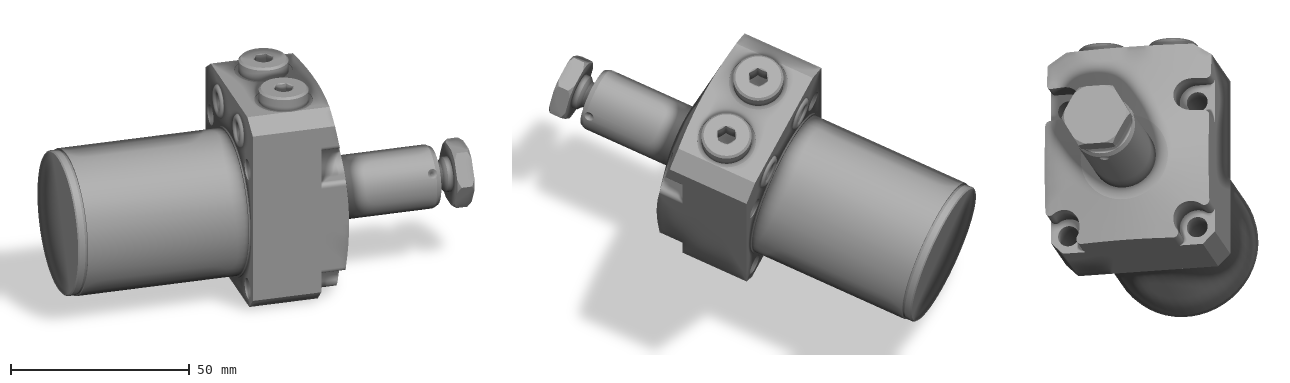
import cadquery as cq
import math


OVERALL_LENGTH = 119.0
OVERALL_HEIGHT = 61.8

FLATS_TO_CORNERS = math.cos(math.pi / 6)

BLOCK_WIDTH = 47.0
BLOCK_TOP = 34.5
BLOCK_BOTTOM = -BLOCK_WIDTH / 2
BLOCK_LENGTH = 31.0
TOP_BEVEL_WIDTH = 5.4
TOP_BEVEL_HEIGHT = 3.6
BOTTOM_BEVEL = 3.5
NOSE_FLAT_RADIUS = 12.5
NOSE_ANGLE = 15.0

HOLE_OFFSET = 18.5
HOLE_DIAMETER = 6.0
POCKET_RADIUS = 5.0
POCKET_LIP_RADIUS = 1.4
POCKET_FLOOR = 20.0

BARREL_DIAMETER = 41.8
BARREL_LENGTH = 50.0
COLLAR_DIAMETER = 42.8
COLLAR_LENGTH = 0.5
END_CAP_LENGTH = 2.0
END_GROOVE_DIAMETER = 40.7
END_GROOVE_LENGTH = 0.7
END_CAP_DIAMETER = 41.2
END_CAP_CHAMFER = 0.4

PORT_OFFSET = 10.0
PORT_HEIGHT = 26.5
RING_OUTER_DIAMETER = 10.0
RING_THICKNESS = 2.9
RING_PROTRUSION = 0.8
PLUG_Y = 13.0
PLUG_DIAMETER = 14.0
PLUG_CHAMFER = 0.6
PLUG_SHANK_DIAMETER = 10.0
PLUG_SHANK_END = 25.7
PLUG_SEAT_DIAMETER = 16.4
PLUG_SEAT_DEPTH = 0.2
PLUG_SOCKET_FLATS = 5.0
PLUG_SOCKET_DEPTH = 4.8
PLUG_SOCKET_TIP_ANGLE = 120.0

ROD_DIAMETER = 18.1
ROD_END = 59.5
ROD_CHAMFER_RADIAL = 0.7
ROD_CHAMFER_LENGTH = 1.4
DIMPLE_DIAMETER = 2.9
DIMPLE_DEPTH = 1.4
DIMPLE_SETBACK = 2.4
DIMPLE_ANGLES = (30, 150, 270)

HEAD_FLATS = 17.0
HEAD_LENGTH = 5.0
HEAD_CHAMFER = 1.0
SHOULDER_DIAMETER = 10.0
SHOULDER_LENGTH = 1.5
SHOULDER_TAPER = 1.1
UNDERCUT_DIAMETER = 7.6
UNDERCUT_LENGTH = 1.0
THREAD_DIAMETER = 8.0
THREAD_ENGAGEMENT = 11.9


def cylinder(diameter, y_start, y_end, x=0.0, z=0.0):
    """Cylinder along +Y between two Y positions."""
    return cq.Workplane(
        cq.Solid.makeCylinder(diameter / 2, y_end - y_start, cq.Vector(x, y_start, z), cq.Vector(0, 1, 0))
    )


def vertical_cylinder(diameter, x, z_start, z_end):
    """Cylinder along +Z on the plug line, between two heights."""
    base = cq.Vector(x, PLUG_Y, z_start)
    return cq.Workplane(cq.Solid.makeCylinder(diameter / 2, z_end - z_start, base, cq.Vector(0, 0, 1)))


def xz_plane(y):
    """Sketch plane at Y = y whose local axes are X and Z; a positive extrusion runs toward -Y."""
    return cq.Workplane("XZ", origin=(0, y, 0))


def make_block():
    """Bevelled prism whose +Y face slopes away conically around a flat centre."""
    half = BLOCK_WIDTH / 2
    outline = [
        (-half + BOTTOM_BEVEL, BLOCK_BOTTOM),
        (half - BOTTOM_BEVEL, BLOCK_BOTTOM),
        (half, BLOCK_BOTTOM + BOTTOM_BEVEL),
        (half, BLOCK_TOP - TOP_BEVEL_HEIGHT),
        (half - TOP_BEVEL_WIDTH, BLOCK_TOP),
        (-half + TOP_BEVEL_WIDTH, BLOCK_TOP),
        (-half, BLOCK_TOP - TOP_BEVEL_HEIGHT),
        (-half, BLOCK_BOTTOM + BOTTOM_BEVEL),
    ]
    prism = xz_plane(BLOCK_LENGTH).polyline(outline).close().extrude(BLOCK_LENGTH)
    reach = BLOCK_WIDTH
    slope_drop = (reach - NOSE_FLAT_RADIUS) * math.tan(math.radians(NOSE_ANGLE))
    nose = (
        cq.Workplane("XY")
        .polyline([
            (0, 0),
            (reach, 0),
            (reach, BLOCK_LENGTH - slope_drop),
            (NOSE_FLAT_RADIUS, BLOCK_LENGTH),
            (0, BLOCK_LENGTH),
        ])
        .close()
        .revolve(360, (0, 0), (0, 1))
    )
    return prism.intersect(nose)


def upper_pocket(side):
    """Slot with a round inner end, open to the side, with rounded lips at its mouth."""
    r = POCKET_RADIUS
    lip = POCKET_LIP_RADIUS
    mouth = BLOCK_WIDTH / 2 - HOLE_OFFSET
    bend = lip * (1 - math.sqrt(0.5))
    pocket = (
        xz_plane(BLOCK_LENGTH)
        .center(HOLE_OFFSET, HOLE_OFFSET)
        .moveTo(0, r)
        .lineTo(mouth - lip, r)
        .threePointArc((mouth - bend, r + bend), (mouth, r + lip))
        .lineTo(mouth, -r - lip)
        .threePointArc((mouth - bend, -r - bend), (mouth - lip, -r))
        .lineTo(0, -r)
        .threePointArc((-r, 0), (0, r))
        .close()
        .extrude(BLOCK_LENGTH - POCKET_FLOOR)
    )
    return pocket if side > 0 else pocket.mirror("YZ")


def lower_pocket(side):
    """Round pocket open to the lower corner, its wall rolling over lips onto the side and the bottom."""
    r = POCKET_RADIUS
    lip = POCKET_LIP_RADIUS
    mouth = BLOCK_WIDTH / 2 - HOLE_OFFSET
    lip_x = mouth - lip
    lip_z = math.sqrt((r + lip) ** 2 - lip_x ** 2)
    touch_x = lip_x * r / (r + lip)
    touch_z = lip_z * r / (r + lip)
    middle = math.atan2(-lip_z, -lip_x) / 2
    mid_x = lip_x + lip * math.cos(middle)
    mid_z = lip_z + lip * math.sin(middle)
    inner = r * math.sqrt(0.5)
    pocket = (
        xz_plane(BLOCK_LENGTH)
        .center(HOLE_OFFSET, -HOLE_OFFSET)
        .moveTo(mouth, lip_z)
        .threePointArc((mid_x, mid_z), (touch_x, touch_z))
        .threePointArc((-inner, inner), (-touch_z, -touch_x))
        .threePointArc((-mid_z, -mid_x), (-lip_z, -mouth))
        .lineTo(mouth, -mouth)
        .close()
        .extrude(BLOCK_LENGTH - POCKET_FLOOR)
    )
    return pocket if side > 0 else pocket.mirror("YZ")


def make_barrel():
    """Round barrel on the mounting face, with a base collar and a slightly narrower end cap."""
    cap_start = -BARREL_LENGTH + END_CAP_LENGTH
    groove_start = cap_start + END_GROOVE_LENGTH
    barrel = cylinder(BARREL_DIAMETER, groove_start, 0)
    collar = cylinder(COLLAR_DIAMETER, -COLLAR_LENGTH, 0)
    groove = cylinder(END_GROOVE_DIAMETER, cap_start, groove_start)
    cap = cylinder(END_CAP_DIAMETER, -BARREL_LENGTH, cap_start).faces("<Y").chamfer(END_CAP_CHAMFER)
    return barrel.union(collar).union(groove).union(cap)


def add_port(body, x):
    """Drill a port, and set a sealing ring half sunk around its mouth."""
    ring_radius = (RING_OUTER_DIAMETER - RING_THICKNESS) / 2
    ring_y = RING_THICKNESS / 2 - RING_PROTRUSION
    ring = cq.Solid.makeTorus(
        ring_radius, RING_THICKNESS / 2, cq.Vector(x, ring_y, PORT_HEIGHT), cq.Vector(0, 1, 0)
    )
    port_diameter = RING_OUTER_DIAMETER - 2 * RING_THICKNESS
    body = body.cut(cylinder(2 * ring_radius, 0, ring_y, x, PORT_HEIGHT))
    body = body.cut(cylinder(port_diameter, 0, PLUG_Y, x, PORT_HEIGHT))
    return body.union(cq.Workplane(ring))


def plug_socket(x, plug_top):
    """Hexagon socket with a conical bottom and a countersunk mouth as wide as its corners."""
    corner_radius = PLUG_SOCKET_FLATS / 2 / FLATS_TO_CORNERS
    tip_length = corner_radius / math.tan(math.radians(PLUG_SOCKET_TIP_ANGLE / 2))
    bottom = plug_top - PLUG_SOCKET_DEPTH
    top_center = cq.Vector(x, PLUG_Y, plug_top)
    hexagon = (
        cq.Workplane("XY", origin=(x, PLUG_Y, plug_top))
        .transformed(rotate=(0, 0, 90))
        .polygon(6, 2 * corner_radius)
        .extrude(-PLUG_SOCKET_DEPTH - tip_length)
    )
    tip = cq.Solid.makeCone(corner_radius, 0, tip_length, cq.Vector(x, PLUG_Y, bottom), cq.Vector(0, 0, -1))
    drilled = vertical_cylinder(2 * corner_radius, x, bottom, plug_top).union(cq.Workplane(tip))
    countersink = cq.Solid.makeCone(corner_radius, 0, tip_length, top_center, cq.Vector(0, 0, -1))
    return hexagon.intersect(drilled).union(cq.Workplane(countersink))


def add_plug(body, x):
    """Sink a seat in the top face and set a plug with a hexagon socket in it."""
    seat_floor = BLOCK_TOP - PLUG_SEAT_DEPTH
    plug_top = BLOCK_BOTTOM + OVERALL_HEIGHT
    seat = vertical_cylinder(PLUG_SEAT_DIAMETER, x, seat_floor, BLOCK_TOP)
    head = vertical_cylinder(PLUG_DIAMETER, x, seat_floor, plug_top).faces(">Z").chamfer(PLUG_CHAMFER)
    shank = vertical_cylinder(PLUG_SHANK_DIAMETER, x, PLUG_SHANK_END, seat_floor)
    return body.cut(seat).union(head).union(shank).cut(plug_socket(x, plug_top))


def make_housing():
    """Block and barrel with pockets, mounting holes, ports and plugs."""
    body = make_block().union(make_barrel())
    for side in (-1, 1):
        body = body.cut(upper_pocket(side)).cut(lower_pocket(side))
        for z in (-HOLE_OFFSET, HOLE_OFFSET):
            body = body.cut(cylinder(HOLE_DIAMETER, 0, BLOCK_LENGTH, side * HOLE_OFFSET, z))
        body = add_port(body, side * PORT_OFFSET)
        body = add_plug(body, side * PORT_OFFSET)
    return body


def make_rod():
    """Round rod with a chamfered end and shallow conical dimples around it."""
    radius = ROD_DIAMETER / 2
    rod = (
        cq.Workplane("XY")
        .polyline([
            (0, BLOCK_LENGTH),
            (radius, BLOCK_LENGTH),
            (radius, ROD_END - ROD_CHAMFER_LENGTH),
            (radius - ROD_CHAMFER_RADIAL, ROD_END),
            (0, ROD_END),
        ])
        .close()
        .revolve(360, (0, 0), (0, 1))
    )
    for angle in DIMPLE_ANGLES:
        outward = cq.Vector(math.cos(math.radians(angle)), 0, math.sin(math.radians(angle)))
        mouth = outward * radius + cq.Vector(0, ROD_END - DIMPLE_SETBACK, 0)
        dimple = cq.Solid.makeCone(DIMPLE_DIAMETER / 2, 0, DIMPLE_DEPTH, mouth, outward * -1)
        rod = rod.cut(cq.Workplane(dimple))
    return rod


def make_screw():
    """Hexagon head with both ends chamfered, shoulder, undercut and the thread that enters the rod."""
    head_end = OVERALL_LENGTH - BARREL_LENGTH
    head_start = head_end - HEAD_LENGTH
    corner = HEAD_FLATS / FLATS_TO_CORNERS / 2
    head = xz_plane(head_end).polygon(6, 2 * corner).extrude(HEAD_LENGTH)
    rounding = cylinder(2 * corner, head_start, head_end).faces("<Y or >Y").chamfer(HEAD_CHAMFER)
    shoulder_end = head_start - SHOULDER_LENGTH
    taper_end = shoulder_end - SHOULDER_TAPER
    undercut_end = taper_end - UNDERCUT_LENGTH
    shank = (
        cq.Workplane("XY")
        .polyline([
            (0, head_start),
            (SHOULDER_DIAMETER / 2, head_start),
            (SHOULDER_DIAMETER / 2, shoulder_end),
            (UNDERCUT_DIAMETER / 2, taper_end),
            (UNDERCUT_DIAMETER / 2, undercut_end),
            (THREAD_DIAMETER / 2, undercut_end),
            (THREAD_DIAMETER / 2, ROD_END - THREAD_ENGAGEMENT),
            (0, ROD_END - THREAD_ENGAGEMENT),
        ])
        .close()
        .revolve(360, (0, 0), (0, 1))
    )
    return head.intersect(rounding).union(shank)


housing = make_housing()
screw = make_screw()
rod = make_rod().cut(screw)

result = cq.Compound.makeCompound([housing.val(), rod.val(), screw.val()])